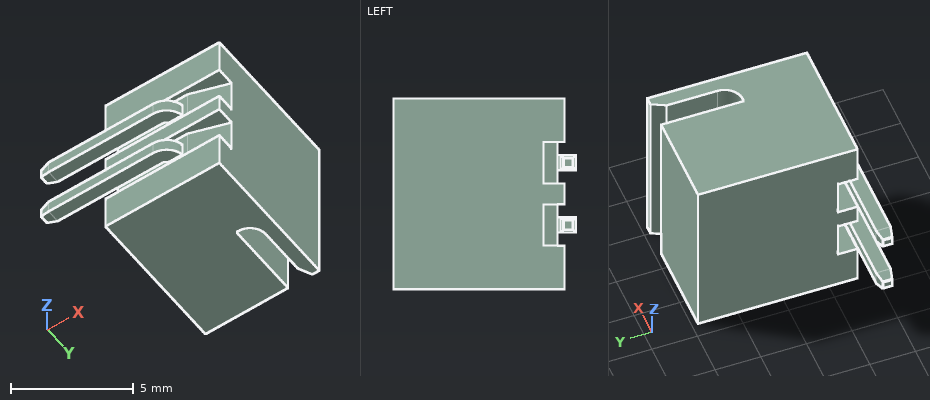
import cadquery as cq


total_length = 8.73
total_depth = 7.46
housing_height = 7.8

housing_length = 5.735
pin_overhang = 0.47
housing_left = total_length - housing_length
housing_front = pin_overhang
housing_back = total_depth

pin_size = 0.64
pin_pitch = 2.54
pin_bend_start = 5.735
bend_outer_radius = 0.95
bend_inner_radius = bend_outer_radius - pin_size
pin_embed_end = 2.62
tip_length = 0.48
tip_size = 0.41
tip_chamfer = 0.03
pin_heights = (-pin_pitch / 2, pin_pitch / 2)

channel_height = 1.685
channel_crest_depth = 0.29
channel_end_depth = 0.86
crest_left = 5.83
crest_right = 6.92

arm_thickness = 0.655
slot_width = 0.92
slot_depth = 3.62
slot_large_radius = 0.8
slot_small_radius = 0.08
arm_lead_width = 0.3
arm_lead_length = 0.59


def make_housing():
    return cq.Workplane("XY").box(
        housing_length, housing_back - housing_front, housing_height, centered=(False, False, True)
    ).translate((housing_left, housing_front, 0))


def make_slot():
    right = total_length - arm_thickness
    left = right - slot_width
    bottom = housing_back - slot_depth
    slot = (
        cq.Workplane("XY")
        .moveTo(left, housing_back)
        .lineTo(left, bottom + slot_small_radius)
        .radiusArc((left + slot_small_radius, bottom), -slot_small_radius)
        .lineTo(right - slot_large_radius, bottom)
        .radiusArc((right, bottom + slot_large_radius), -slot_large_radius)
        .lineTo(right, housing_back - arm_lead_length)
        .lineTo(right + arm_lead_width, housing_back)
        .close()
    )
    return slot.extrude(housing_height / 2, both=True)


def make_channel(height):
    """Channel with a flat crest at the pin and a floor falling away to both sides."""
    crest = housing_front + channel_crest_depth
    end = housing_front + channel_end_depth
    profile = [
        (housing_left, housing_front),
        (housing_left, end),
        (crest_left, crest),
        (crest_right, crest),
        (total_length, end),
        (total_length, housing_front),
    ]
    channel = cq.Workplane("XY").polyline(profile).close().extrude(channel_height / 2, both=True)
    return channel.translate((0, 0, height))


def make_pin(height):
    """Square pin with a tapered tip, bent a quarter turn into the housing."""
    leg_right = pin_bend_start + bend_outer_radius
    bent_bar = (
        cq.Workplane("XY")
        .moveTo(tip_length, 0)
        .lineTo(pin_bend_start, 0)
        .radiusArc((leg_right, bend_outer_radius), -bend_outer_radius)
        .lineTo(leg_right, pin_embed_end)
        .lineTo(leg_right - pin_size, pin_embed_end)
        .lineTo(leg_right - pin_size, bend_outer_radius)
        .radiusArc((pin_bend_start, pin_size), bend_inner_radius)
        .lineTo(tip_length, pin_size)
        .close()
        .extrude(pin_size / 2, both=True)
    )
    tip = (
        cq.Workplane("YZ")
        .center(pin_size / 2, 0)
        .rect(tip_size, tip_size)
        .workplane(offset=tip_length)
        .rect(pin_size, pin_size)
        .loft()
        .faces("<X")
        .chamfer(tip_chamfer)
    )
    return bent_bar.union(tip).translate((0, 0, height))


result = make_housing().cut(make_slot())
for pin_height in pin_heights:
    result = result.cut(make_channel(pin_height))
for pin_height in pin_heights:
    result = result.union(make_pin(pin_height))